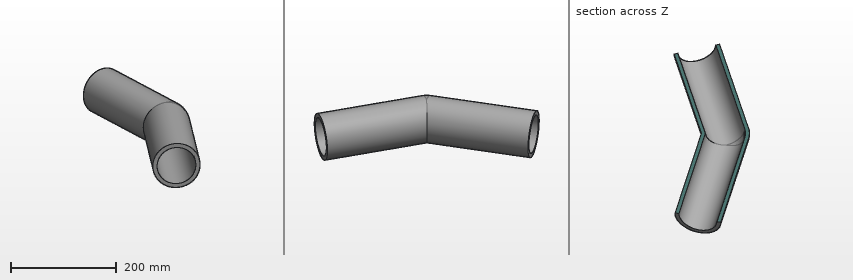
import cadquery as cq
import math

overall_length = 411.5
outer_diameter = 90.0
wall = 8.2
bend_angle = 30.0

outer_radius = outer_diameter / 2
bore_radius = outer_radius - wall
bend = math.radians(bend_angle)

leg_length = (overall_length - outer_radius * math.sin(bend)) / (1 + math.cos(bend))

joint = cq.Vector(0, 0, 0)
inlet_direction = cq.Vector(-1, 0, 0)
outlet_direction = cq.Vector(math.cos(bend), -math.sin(bend), 0)


def bent_rod(radius):
    """Two round legs mitred on the inside of the bend, with a ball rounding the outside."""
    inlet = cq.Solid.makeCylinder(radius, leg_length, joint, inlet_direction)
    outlet = cq.Solid.makeCylinder(radius, leg_length, joint, outlet_direction)
    ball = cq.Workplane("XY").sphere(radius)
    return ball.union(cq.Workplane(inlet)).union(cq.Workplane(outlet))


result = bent_rod(outer_radius).cut(bent_rod(bore_radius))